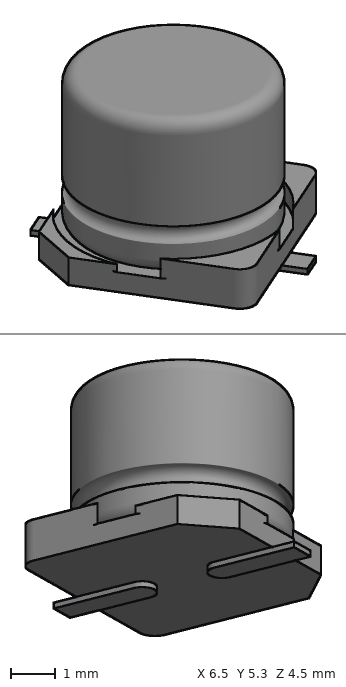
import cadquery as cq

total_length = 6.5
total_height = 4.5

lead_width = 0.66
lead_thickness = 0.14
lead_inner_end = 0.75

base_side = 5.3
base_chamfer = 1.0
base_corner_radius = 0.4
low_rim_height = 0.7
high_rim_height = 1.0
recess_floor_height = 0.5
recess_radius = 2.7

can_diameter = 5.0
can_edge_radius = 0.34
groove_radius = 0.22
groove_lip_radius = 0.01
groove_height = 1.64

base_bottom = lead_thickness
can_bottom = base_bottom + recess_floor_height
can_height = total_height - can_bottom
can_radius = can_diameter / 2


def make_base():
    """Square base with two chamfered and two rounded corners, stepped rim and round recess."""
    plate = (
        cq.Workplane("XY", origin=(0, 0, base_bottom))
        .rect(base_side, base_side)
        .extrude(high_rim_height)
    )
    plate = plate.edges("|Z and <X").chamfer(base_chamfer)
    plate = plate.edges("|Z and >X").fillet(base_corner_radius)

    low_half = (
        cq.Workplane("XY", origin=(-base_side / 4, 0, base_bottom + low_rim_height))
        .rect(base_side / 2, base_side)
        .extrude(high_rim_height - low_rim_height)
    )

    recess = (
        cq.Workplane("XY", origin=(0, 0, can_bottom))
        .circle(recess_radius)
        .extrude(high_rim_height)
    )
    return plate.cut(low_half).cut(recess)


def make_can():
    """Cylinder with rounded ends and a crimp groove around its lower part."""
    body = (
        cq.Workplane("XY", origin=(0, 0, can_bottom))
        .circle(can_radius)
        .extrude(can_height)
        .faces("<Z or >Z")
        .edges()
        .fillet(can_edge_radius)
    )
    groove = (
        cq.Workplane("XZ")
        .center(can_radius, groove_height)
        .circle(groove_radius)
        .revolve(360, (-can_radius, 0, 0), (-can_radius, 1, 0))
    )
    grooved = body.cut(groove)
    groove_centre = cq.selectors.NearestToPointSelector((0, 0, groove_height))
    lip_edges = grooved.faces(groove_centre).edges("%CIRCLE and (>Z or <Z)")
    return lip_edges.fillet(groove_lip_radius)


def make_lead(side):
    """Flat lead under the base, rounded at its inner end; side is -1 or 1 along X."""
    outer_x = side * total_length / 2
    tip_x = side * lead_inner_end
    round_start_x = tip_x + side * lead_width / 2
    return (
        cq.Workplane("XY")
        .moveTo(outer_x, -lead_width / 2)
        .lineTo(round_start_x, -lead_width / 2)
        .threePointArc((tip_x, 0), (round_start_x, lead_width / 2))
        .lineTo(outer_x, lead_width / 2)
        .close()
        .extrude(lead_thickness)
    )


result = make_base().union(make_can())
for lead_side in (-1, 1):
    result = result.union(make_lead(lead_side))